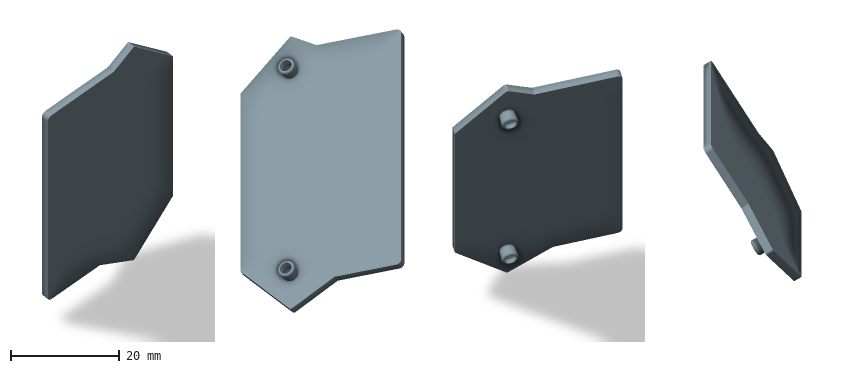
import cadquery as cq
import math

overall_thickness = 4.0
plate_thickness = 1.6
peg_length = overall_thickness - plate_thickness
peg_base_x = overall_thickness / 2 - plate_thickness

overall_width = 32.0
half_width = overall_width / 2
peak_y = 6.0
peak_z = 28.75
top_edge_z = 25.75
bottom_edge_z = -23.7
shoulder_slope = math.tan(math.radians(30))
peak_radius = 0.45
corner_radius = 1.0

peg_y = peak_y
peg_spacing = 42.6
peg_base_radius = 1.5
peg_max_radius = 1.6
tip_round = 0.4
bore_floor_radius = 0.65
bore_wall_end_radius = 0.9
bore_mouth_radius = 1.15
floor_chamfer_height = 0.35
bore_depth = 2.0


def make_plate():
    side_z = peak_z - (half_width - peak_y)
    top_notch_y = peak_y - (peak_z - top_edge_z) / shoulder_slope
    bottom_notch_y = peak_y - (peak_z + bottom_edge_z) / shoulder_slope
    outline = [
        (half_width, -side_z),
        (half_width, side_z),
        (peak_y, peak_z),
        (top_notch_y, top_edge_z),
        (-half_width, top_edge_z),
        (-half_width, bottom_edge_z),
        (bottom_notch_y, bottom_edge_z),
        (peak_y, -peak_z),
    ]
    plate = (
        cq.Workplane("YZ", origin=(peg_base_x, 0, 0))
        .polyline(outline)
        .close()
        .extrude(plate_thickness)
    )
    plate = plate.edges("|X and <Y").fillet(corner_radius)
    return plate.edges("|X and (>Z or <Z)").fillet(peak_radius)


def make_peg(z):
    widest_height = peg_length - tip_round
    bore_floor = peg_length - bore_depth
    tip_radius = peg_max_radius - tip_round
    diagonal = tip_round * math.sqrt(0.5)
    placement = cq.Plane(origin=(peg_base_x, peg_y, z), xDir=(0, 1, 0), normal=(0, 0, 1))
    section = (
        cq.Workplane(placement)
        .lineTo(peg_base_radius, 0)
        .lineTo(peg_max_radius, widest_height)
        .threePointArc((tip_radius + diagonal, widest_height + diagonal), (tip_radius, peg_length))
        .lineTo(bore_mouth_radius, peg_length)
        .lineTo(bore_wall_end_radius, bore_floor + floor_chamfer_height)
        .lineTo(bore_floor_radius, bore_floor)
        .lineTo(0, bore_floor)
        .close()
    )
    return section.revolve(360, (0, 0, 0), (0, 1, 0))


result = make_plate()
for z in (-peg_spacing / 2, peg_spacing / 2):
    result = result.union(make_peg(z))